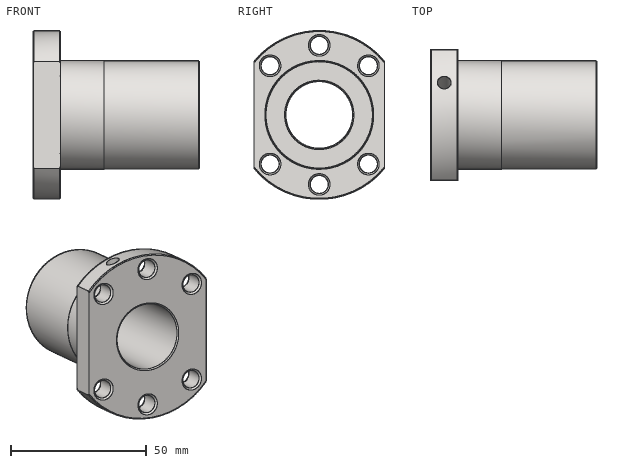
import cadquery as cq

length = 61.0
flange_diameter = 62.0
flange_width = 48.0
flange_thickness = 10.0
flange_chamfer = 0.4

body_diameter = 39.8
neck_diameter = 40.0
neck_length = 16.0
body_chamfer = 0.4

bore_diameter = 24.5
bore_chamfer = 0.5

bolt_circle_diameter = 51.0
bolt_hole_diameter = 6.6
bolt_hole_chamfer = 0.7
bolt_angles = (45, 90, 135, 225, 270, 315)

oil_hole_diameter = 4.95
oil_hole_angle = 22.5

CUT_MARGIN = 0.6


def cylinder(diameter, start, end):
    """Solid cylinder on the X axis between two X positions."""
    return cq.Workplane("YZ", origin=(start, 0, 0)).circle(diameter / 2).extrude(end - start)


def make_flange():
    """Round flange with chamfered rims and two flats parallel to XZ."""
    disc = cylinder(flange_diameter, 0, flange_thickness).edges().chamfer(flange_chamfer)
    flats = cq.Workplane("XY").box(2 * flange_thickness, flange_width, flange_diameter)
    return disc.intersect(flats)


def make_body():
    """Full-diameter neck followed by the slightly smaller body."""
    neck_end = flange_thickness + neck_length
    neck = cylinder(neck_diameter, 0, neck_end)
    barrel = cylinder(body_diameter, neck_end, length).faces(">X").chamfer(body_chamfer)
    return neck.union(barrel)


def chamfered_hole(diameter, chamfer, depth):
    """Cutter along +X from X = 0, countersunk at both ends."""
    hole = cylinder(diameter, 0, depth)
    mouth = cq.Workplane("XY").polyline([
        (0, 0),
        (0, diameter / 2 + chamfer),
        (chamfer, diameter / 2),
        (chamfer, 0),
    ]).close().revolve(360, (0, 0, 0), (1, 0, 0))
    far_mouth = mouth.mirror("YZ").translate((depth, 0, 0))
    return hole.union(mouth).union(far_mouth)


def make_oil_hole():
    """Radial hole from the flange rim through into the bore."""
    return (
        cq.Workplane("XY", origin=(flange_thickness / 2, 0, 0))
        .circle(oil_hole_diameter / 2)
        .extrude(flange_diameter / 2 + CUT_MARGIN)
        .rotate((0, 0, 0), (1, 0, 0), -oil_hole_angle)
    )


result = make_flange().union(make_body())
result = result.cut(chamfered_hole(bore_diameter, bore_chamfer, length))

bolt_hole = chamfered_hole(bolt_hole_diameter, bolt_hole_chamfer, flange_thickness)
bolt_hole = bolt_hole.translate((0, bolt_circle_diameter / 2, 0))
for angle in bolt_angles:
    result = result.cut(bolt_hole.rotate((0, 0, 0), (1, 0, 0), angle))

result = result.cut(make_oil_hole())